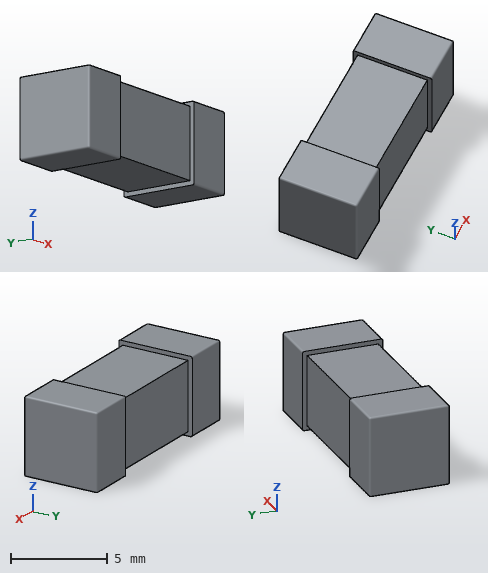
import cadquery as cq

length = 12.1
cap_side = 4.5

body_side = 3.99

cap_length = 2.78
cap_edge_radius = 0.11


def end_cap(direction):
    """Square cap at one end of X, rounded everywhere except its inner rim."""
    outer_face = ">X" if direction > 0 else "<X"
    cap_center_x = direction * (length - cap_length) / 2
    return (
        cq.Workplane("XY")
        .box(cap_length, cap_side, cap_side)
        .edges(f"|X or {outer_face}")
        .fillet(cap_edge_radius)
        .translate((cap_center_x, 0, 0))
    )


body_length = length - 2 * cap_length
result = cq.Workplane("XY").box(body_length, body_side, body_side)

for direction in (-1, 1):
    result = result.union(end_cap(direction))